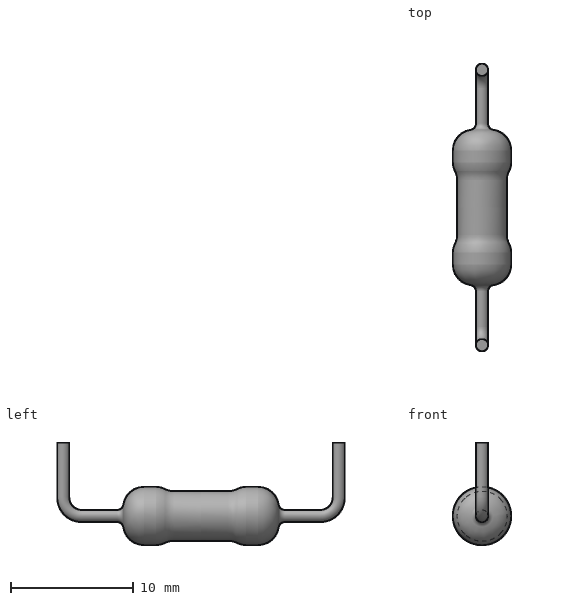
import cadquery as cq
import math

overall_length = 23.5
lead_diameter = 1.0
lead_top_height = 6.0
bend_radius = 1.5

cap_diameter = 4.8
waist_diameter = 4.1
waist_half_length = 2.25
shoulder_length = 1.4
cap_straight_length = 0.99
cap_round_radius = 1.72
lead_fillet_radius = 0.5

lead_radius = lead_diameter / 2
cap_radius = cap_diameter / 2
waist_radius = waist_diameter / 2
lead_end_y = overall_length / 2 - lead_radius

shoulder_mid_y = waist_half_length + shoulder_length / 2
shoulder_mid_radius = (waist_radius + cap_radius) / 2
shoulder_start_y = waist_half_length
shoulder_end_y = shoulder_start_y + shoulder_length
cap_round_y = shoulder_end_y + cap_straight_length

cap_round_center_r = cap_radius - cap_round_radius
flare_center_r = lead_radius + lead_fillet_radius
center_distance = cap_round_radius + lead_fillet_radius
center_rise = flare_center_r - cap_round_center_r
flare_angle = math.asin(center_rise / center_distance)
flare_center_y = cap_round_y + center_distance * math.cos(flare_angle)


def arc_point(center, radius, angle):
    """Point (radial, axial) on an arc; the angle is measured from the Y axis."""
    return (center[0] + radius * math.sin(angle), center[1] + radius * math.cos(angle))


def half_body():
    """Revolved +Y half of the body, from its middle to the end of the flare."""
    cap_center = (cap_round_center_r, cap_round_y)
    flare_center = (flare_center_r, flare_center_y)
    flare_start = arc_point(cap_center, cap_round_radius, flare_angle)
    cap_round_mid = arc_point(cap_center, cap_round_radius, (flare_angle + math.pi / 2) / 2)
    flare_start_angle = math.pi + flare_angle
    flare_end_angle = 3 * math.pi / 2
    flare_mid = arc_point(flare_center, lead_fillet_radius, (flare_start_angle + flare_end_angle) / 2)
    return (
        cq.Workplane("XY")
        .lineTo(waist_radius, 0)
        .lineTo(waist_radius, shoulder_start_y)
        .tangentArcPoint((shoulder_mid_radius, shoulder_mid_y), relative=False)
        .tangentArcPoint((cap_radius, shoulder_end_y), relative=False)
        .lineTo(cap_radius, cap_round_y)
        .threePointArc(cap_round_mid, flare_start)
        .threePointArc(flare_mid, (lead_radius, flare_center_y))
        .lineTo(0, flare_center_y)
        .close()
        .revolve(360, (0, 0), (0, 1))
    )


def lead():
    """Bent +Y lead, starting inside the body."""
    bend_start_y = lead_end_y - bend_radius
    path = (
        cq.Workplane("YZ")
        .moveTo(cap_round_y, 0)
        .lineTo(bend_start_y, 0)
        .tangentArcPoint((lead_end_y, bend_radius), relative=False)
        .lineTo(lead_end_y, lead_top_height)
    )
    start_plane = cq.Plane(origin=(0, cap_round_y, 0), xDir=(1, 0, 0), normal=(0, 1, 0))
    return cq.Workplane(start_plane).circle(lead_radius).sweep(path)


half_resistor = half_body().union(lead())
result = half_resistor.union(half_resistor.mirror("XZ"))